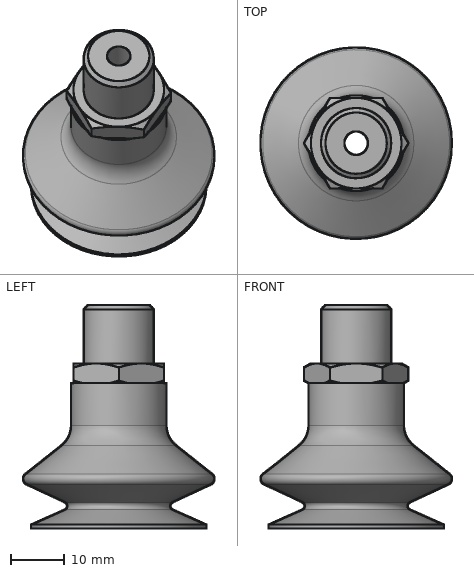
import cadquery as cq
import math

total_height = 42.0
bore_diameter = 4.35

stud_radius = 6.6
stud_chamfer = 0.85

hex_across_flats = 17.0
hex_top = 31.0
hex_bottom = 27.3
hex_chamfer_angle = math.radians(30)

neck_radius = 9.0
flare_top = 19.35
flare_radius = 4.85
shoulder_angle = math.radians(38)

rim_outer_radius = 17.995
rim_rounding = 1.155
rim_height = 9.32
underside_angle = math.radians(24)

waist_radius = 9.7
waist_height = 4.25
waist_rounding = 0.75

lip_radius = 16.5
lip_thickness = 0.7


def arc_point(center, radius, angle):
    """Point on a circle in the profile plane, angle measured from outward radial."""
    return (center[0] + radius * math.cos(angle), center[1] + radius * math.sin(angle))


def make_bellows():
    """Revolved neck, flare, folded cup and lip; profile drawn as (radius, height)."""
    quarter = math.pi / 2
    half = math.pi

    flare_center = (neck_radius + flare_radius, flare_top)
    flare_turn = quarter - shoulder_angle
    flare_mid = arc_point(flare_center, flare_radius, half + flare_turn / 2)
    flare_end = arc_point(flare_center, flare_radius, half + flare_turn)

    rim_center = (rim_outer_radius - rim_rounding, rim_height)
    rim_start = arc_point(rim_center, rim_rounding, quarter - shoulder_angle)
    rim_mid = arc_point(rim_center, rim_rounding, 0)
    rim_end = arc_point(rim_center, rim_rounding, underside_angle - quarter)

    waist_center = (waist_radius + waist_rounding, waist_height)
    waist_turn = quarter - underside_angle
    waist_start = arc_point(waist_center, waist_rounding, half - waist_turn)
    waist_mid = arc_point(waist_center, waist_rounding, half)
    waist_end = arc_point(waist_center, waist_rounding, half + waist_turn)

    profile = (
        cq.Workplane("XZ")
        .moveTo(0, hex_bottom)
        .lineTo(neck_radius, hex_bottom)
        .lineTo(neck_radius, flare_top)
        .threePointArc(flare_mid, flare_end)
        .lineTo(*rim_start)
        .threePointArc(rim_mid, rim_end)
        .lineTo(*waist_start)
        .threePointArc(waist_mid, waist_end)
        .lineTo(lip_radius, lip_thickness)
        .lineTo(lip_radius, 0)
        .lineTo(0, 0)
        .close()
    )
    return profile.revolve(360, (0, 0, 0), (0, 1, 0))


def make_hex_collar():
    """Hexagon with corners on X, trimmed by a cone at each end."""
    flat_radius = hex_across_flats / 2
    corner_radius = flat_radius / math.cos(math.pi / 6)
    top_drop = (corner_radius - flat_radius) * math.tan(hex_chamfer_angle)
    bottom_rise = (corner_radius - neck_radius) * math.tan(hex_chamfer_angle)

    prism = (
        cq.Workplane("XY", origin=(0, 0, hex_bottom))
        .polygon(6, 2 * corner_radius)
        .extrude(hex_top - hex_bottom)
    )
    envelope = (
        cq.Workplane("XZ")
        .moveTo(0, hex_bottom)
        .lineTo(neck_radius, hex_bottom)
        .lineTo(corner_radius, hex_bottom + bottom_rise)
        .lineTo(corner_radius, hex_top - top_drop)
        .lineTo(flat_radius, hex_top)
        .lineTo(0, hex_top)
        .close()
        .revolve(360, (0, 0, 0), (0, 1, 0))
    )
    return prism.intersect(envelope)


def make_stud():
    """Plain cylinder with a chamfered tip."""
    return (
        cq.Workplane("XY", origin=(0, 0, hex_top))
        .circle(stud_radius)
        .extrude(total_height - hex_top)
        .faces(">Z")
        .chamfer(stud_chamfer)
    )


body = make_bellows().union(make_hex_collar()).union(make_stud())
bore = cq.Workplane("XY").circle(bore_diameter / 2).extrude(total_height)
result = body.cut(bore)